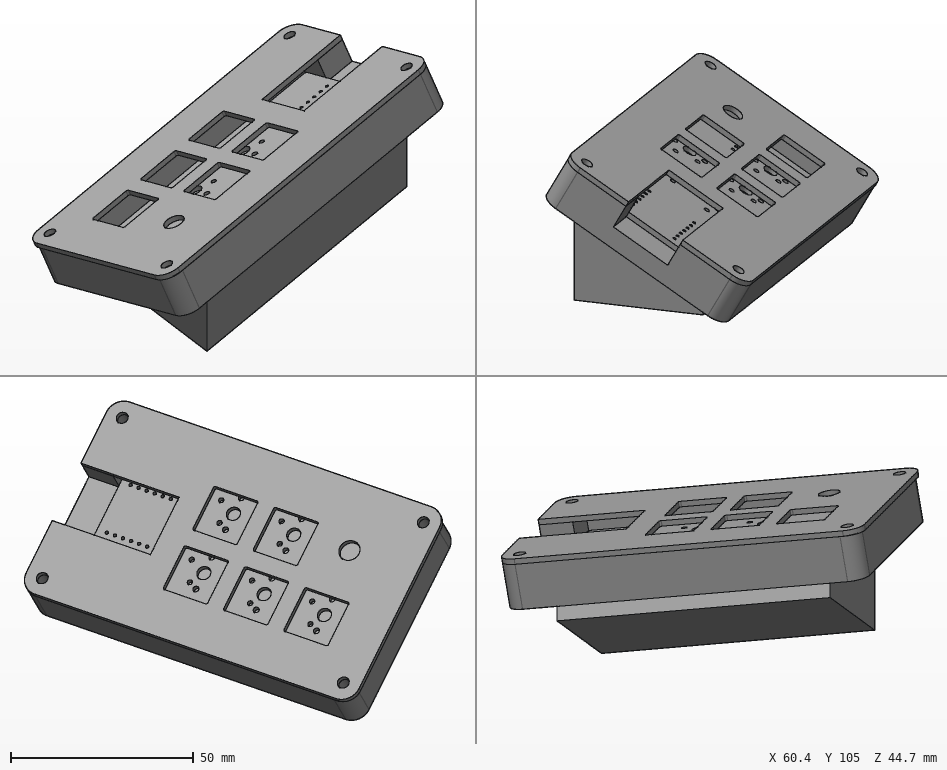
import cadquery as cq
import math


tilt_angle = 30
pad_width = 61.4
lid_length = 105
lid_thickness = 1.6
case_length = 104.0
case_height = 12.9
corner_radius = 4.9
low_edge_height = 1.4
case_front = lid_length - case_length
lid_top = case_height + lid_thickness

screw_diameter = 3.4
screw_inset = 5.0

notch_left = 21.7
notch_width = 18.4
notch_length = 31.0

key_pitch = 19.0
key_cells = [(0, 0), (0, 1), (0, 2), (1, 0), (1, 1)]
knob_row = 2

window_size = 14.0
window_corner_radius = 0.5
first_window_u = 20.5
back_window_v = 59.1
knob_hole_diameter = 6.0
knob_hole_u = 41.7

cavity_depth = 7.3
cavity_left = 12.5
cavity_right = 52.3
end_wall = 9.8
cavity_floor = case_height - cavity_depth

board_thickness = 1.6
board_side_gap = 0.8
board_end_gap = 0.2

first_key_u = 24.1
back_key_v = 60.5
stem_diameter = 4.0
post_diameter = 1.7
post_offset = 5.08
leg_diameter = 1.5
leg_grid = 1.27

header_diameter = 0.89
header_pitch = 2 * leg_grid
header_holes_per_row = 7
header_u = 26.0
header_row_spacing = 15.2
header_first_v = 76.7

knob_pin_diameter = 1.0
knob_pin_pitch = 2.5
knob_pin_setback = 7.5

stand_left = 17.2
stand_width = 37.9
stand_front = 14.4
stand_length = 79.2

low_edge_x = lid_top * math.sin(math.radians(tilt_angle))


def block(u_range, v_range, w_range):
    """Rectangular block between the given limits."""
    sizes = [high - low for low, high in (u_range, v_range, w_range)]
    return cq.Workplane("XY").box(*sizes, centered=False).translate((u_range[0], v_range[0], w_range[0]))


def pegs(centers, diameter, w_range):
    """Upright cylinders used for cutting holes."""
    low, high = w_range
    return cq.Workplane("XY", origin=(0, 0, low)).pushPoints(centers).circle(diameter / 2).extrude(high - low)


def rounded_slab(v_range, w_range):
    """Full-width slab with rounded upright corners."""
    return block((0, pad_width), v_range, w_range).edges("|Z").fillet(corner_radius)


def grid_points(first_u, back_v):
    """Center of every key cell for a grid starting at the given place."""
    return [(first_u + column * key_pitch, back_v - row * key_pitch) for column, row in key_cells]


def screw_pegs(w_range):
    centers = [
        (u, v)
        for u in (screw_inset, pad_width - screw_inset)
        for v in (screw_inset, lid_length - screw_inset)
    ]
    return pegs(centers, screw_diameter, w_range)


def notch_block(front_v, w_range):
    return block((notch_left, notch_left + notch_width), (front_v, lid_length), w_range)


def make_lid():
    layer = (case_height, lid_top)
    lid = rounded_slab((0, lid_length), layer)
    lid = lid.cut(screw_pegs(layer))
    lid = lid.cut(notch_block(lid_length - notch_length, layer))

    windows = (
        cq.Workplane("XY", origin=(0, 0, case_height))
        .pushPoints(grid_points(first_window_u, back_window_v))
        .rect(window_size, window_size)
        .extrude(lid_thickness)
        .edges("|Z")
        .fillet(window_corner_radius)
    )
    lid = lid.cut(windows)

    knob_hole_v = back_window_v - knob_row * key_pitch
    return lid.cut(pegs([(knob_hole_u, knob_hole_v)], knob_hole_diameter, layer))


def make_case():
    case = rounded_slab((case_front, lid_length), (0, case_height))
    case = case.cut(screw_pegs((0, case_height)))

    cavity_back = lid_length - end_wall
    cavity_layer = (cavity_floor, case_height)
    case = case.cut(block((cavity_left, cavity_right), (end_wall, cavity_back), cavity_layer))
    return case.cut(notch_block(cavity_back, cavity_layer))


def make_board():
    layer = (cavity_floor, cavity_floor + board_thickness)
    end_inset = end_wall + board_end_gap
    board = block(
        (cavity_left + board_side_gap, cavity_right - board_side_gap),
        (end_inset, lid_length - end_inset),
        layer,
    )

    stems = grid_points(first_key_u, back_key_v)
    posts = [(u + side * post_offset, v) for u, v in stems for side in (-1, 1)]
    leg_steps = [(-3, 2), (2, 4)]
    legs = [(u + du * leg_grid, v + dv * leg_grid) for u, v in stems for du, dv in leg_steps]
    board = board.cut(pegs(stems, stem_diameter, layer))
    board = board.cut(pegs(posts, post_diameter, layer))
    board = board.cut(pegs(legs, leg_diameter, layer))

    header = [
        (header_u + row * header_row_spacing, header_first_v + place * header_pitch)
        for row in range(2)
        for place in range(header_holes_per_row)
    ]
    board = board.cut(pegs(header, header_diameter, layer))

    knob_pin_u = first_key_u + key_pitch - knob_pin_setback
    knob_v = back_key_v - knob_row * key_pitch
    knob_pins = [(knob_pin_u, knob_v + step * knob_pin_pitch) for step in (-1, 0, 1)]
    return board.cut(pegs(knob_pins, knob_pin_diameter, layer))


def make_stand():
    """Upright wedge whose sloping top lies against the underside of the case."""
    slope = math.tan(math.radians(tilt_angle))
    stand_right = stand_left + stand_width
    left_height = low_edge_height + (stand_left - low_edge_x) * slope
    right_height = left_height + stand_width * slope
    return (
        cq.Workplane("XZ", origin=(0, stand_front, 0))
        .moveTo(stand_left, 0)
        .lineTo(stand_right, 0)
        .lineTo(stand_right, right_height)
        .lineTo(stand_left, left_height)
        .close()
        .extrude(-stand_length)
    )


def tilted(body):
    """Swing a flat body up about the lowest case edge and set that edge in place."""
    return body.rotate((0, 0, 0), (0, 1, 0), -tilt_angle).translate((low_edge_x, 0, low_edge_height))


lid = tilted(make_lid())
case = tilted(make_case())
board = tilted(make_board())
stand = make_stand()

result = cq.Compound.makeCompound([lid.val(), case.val(), board.val(), stand.val()])